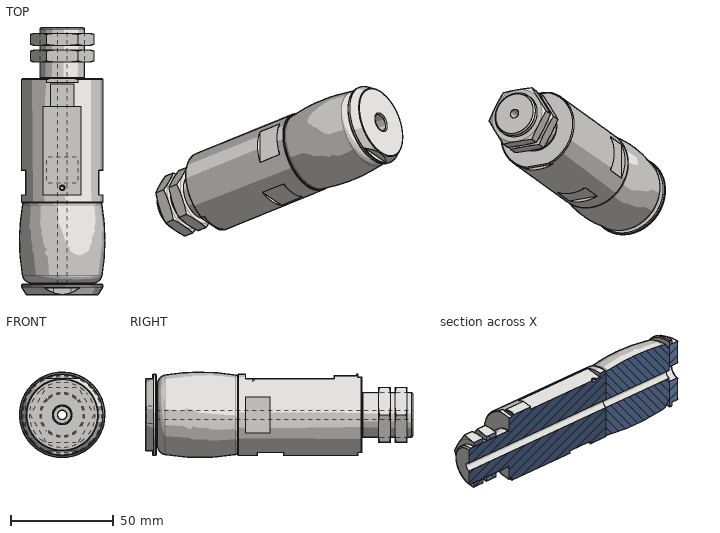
import cadquery as cq
import math

total_length = 131.0
bore_diameter = 4.5

cap_length = 5.5
cap_diameter = 39.8
cap_rim_start = 3.9
cap_face_diameter = 34.6
cap_flat_height = 17.7
cap_flat_length = 3.5
cap_edge_chamfer = 0.5
cap_cone_diameter = 35.2
cap_face_chamfer = 0.3
inlet_diameter = 8.5
inlet_mouth_diameter = 9.7

barrel_front = cap_length
barrel_back = 45.0
barrel_neck_diameter = 32.0
barrel_neck_length = 0.5
barrel_nose_radius = 4.6
barrel_end_diameter = 39.0
barrel_max_diameter = 41.9
barrel_curve_front = 9.5
barrel_curve_back = 44.0
barrel_lip_diameter = 38.5

housing_front = barrel_back
housing_diameter = 40.0
housing_front_chamfer = 0.4
housing_back_chamfer = 0.5
stem_length = 25.0
stem_diameter = 22.0
stem_tip_diameter = 20.5
stem_relief_diameter = 21.0
stem_relief_length = 0.4
housing_back = total_length - stem_length

label_flat_height = 17.7
label_flat_front = 49.0
label_flat_back = 92.4
step_flat_height = 19.1
step_flat_back = 103.2
end_flat_height = 18.5
end_flat_length = 2.0
wrench_flat_offset = 18.0
wrench_flat_front = label_flat_front
wrench_flat_length = 12.0
lower_flat_front = 54.8
lower_flat_length = 12.8
vent_position = 52.5
vent_diameter = 2.0
vent_mouth_diameter = 2.6
vent_depth = 0.7
vent_tip_depth = 0.7

nut_across_flats = 27.0
nut_thickness = 6.0
nut_positions = [114.0, 122.1]
nut_chamfer_angle = 15.0


def turned(outline):
    """Revolve a closed (radius, Y) outline about the Y axis."""
    return outline.close().revolve(360, (0, 0, 0), (0, 1, 0))


def rod(diameter, start, end):
    """Make a round bar along the Y axis."""
    bar = cq.Workplane("XZ", origin=(0, start, 0)).circle(diameter / 2)
    return bar.extrude(start - end)


def flat_cutter(height, start, end):
    """Make a block that leaves a flat at the given height above the axis."""
    size = barrel_max_diameter
    block = cq.Workplane("XY").box(size, end - start, size, centered=(True, False, False))
    return block.translate((0, start, height))


def about_axis(shape, angle):
    """Turn a shape about the Y axis."""
    return shape.rotate((0, 0, 0), (0, 1, 0), angle)


def make_cap():
    radius = cap_diameter / 2
    inlet_chamfer = (inlet_mouth_diameter - inlet_diameter) / 2
    outline = (
        cq.Workplane("XY")
        .moveTo(0, 0)
        .lineTo(cap_face_diameter / 2, 0)
        .lineTo(cap_cone_diameter / 2, cap_face_chamfer)
        .lineTo(radius, cap_rim_start)
        .lineTo(radius, cap_length - cap_edge_chamfer)
        .lineTo(radius - cap_edge_chamfer, cap_length)
        .lineTo(0, cap_length)
    )
    cap = turned(outline)
    flat = flat_cutter(cap_flat_height, 0, cap_flat_length)
    for angle in (0, 180):
        cap = cap.cut(about_axis(flat, angle))
    inlet = (
        cq.Workplane("XY")
        .lineTo(inlet_mouth_diameter / 2, 0)
        .lineTo(inlet_diameter / 2, inlet_chamfer)
        .lineTo(inlet_diameter / 2, cap_length)
        .lineTo(0, cap_length)
    )
    return cap.cut(turned(inlet))


def make_barrel():
    end_radius = barrel_end_diameter / 2
    curve_middle = (barrel_curve_front + barrel_curve_back) / 2
    neck_radius = barrel_neck_diameter / 2
    nose_front = barrel_front + barrel_neck_length
    outline = (
        cq.Workplane("XY")
        .moveTo(0, barrel_front)
        .lineTo(neck_radius, barrel_front)
        .lineTo(neck_radius, nose_front)
        .radiusArc((end_radius, barrel_curve_front), -barrel_nose_radius)
        .threePointArc((barrel_max_diameter / 2, curve_middle), (end_radius, barrel_curve_back))
        .lineTo(barrel_lip_diameter / 2, barrel_back)
        .lineTo(0, barrel_back)
    )
    return turned(outline).cut(rod(bore_diameter, barrel_front, barrel_back))


def make_housing():
    radius = housing_diameter / 2
    stem_radius = stem_diameter / 2
    relief_back = housing_back + stem_relief_length
    stem_chamfer = (stem_diameter - stem_tip_diameter) / 2
    outline = (
        cq.Workplane("XY")
        .moveTo(0, housing_front)
        .lineTo(radius - housing_front_chamfer, housing_front)
        .lineTo(radius, housing_front + housing_front_chamfer)
        .lineTo(radius, housing_back - housing_back_chamfer)
        .lineTo(radius - housing_back_chamfer, housing_back)
        .lineTo(stem_relief_diameter / 2, housing_back)
        .lineTo(stem_relief_diameter / 2, relief_back)
        .lineTo(stem_radius, relief_back)
        .lineTo(stem_radius, total_length - stem_chamfer)
        .lineTo(stem_radius - stem_chamfer, total_length)
        .lineTo(0, total_length)
    )
    housing = turned(outline).cut(rod(bore_diameter, housing_front, total_length))
    housing = housing.cut(flat_cutter(label_flat_height, label_flat_front, label_flat_back))
    housing = housing.cut(flat_cutter(step_flat_height, label_flat_back, step_flat_back))

    end_flat = flat_cutter(end_flat_height, housing_back - end_flat_length, housing_back)
    for angle in (0, 180):
        housing = housing.cut(about_axis(end_flat, angle))

    wrench_flat_back = wrench_flat_front + wrench_flat_length
    wrench_flat = flat_cutter(wrench_flat_offset, wrench_flat_front, wrench_flat_back)
    for angle in (90, -90):
        housing = housing.cut(about_axis(wrench_flat, angle))

    lower_flat = flat_cutter(end_flat_height, lower_flat_front, lower_flat_front + lower_flat_length)
    housing = housing.cut(about_axis(lower_flat, 180))
    return housing.cut(make_vent())


def make_vent():
    """Make the cutter for the small blind hole with a chamfered mouth in the label flat."""
    chamfer = (vent_mouth_diameter - vent_diameter) / 2
    outline = (
        cq.Workplane("XZ")
        .lineTo(vent_mouth_diameter / 2, 0)
        .lineTo(vent_diameter / 2, -chamfer)
        .lineTo(vent_diameter / 2, -vent_depth)
        .lineTo(0, -vent_depth - vent_tip_depth)
        .close()
    )
    vent = outline.revolve(360, (0, 0, 0), (0, 1, 0))
    return vent.translate((0, vent_position, label_flat_height))


def make_nut(start):
    """Make a hexagonal nut, with corners on the X axis and both ends chamfered."""
    end = start + nut_thickness
    corner_radius = nut_across_flats / math.sqrt(3)
    face_radius = nut_across_flats / 2
    slope = math.tan(math.radians(nut_chamfer_angle))
    chamfer_depth = (corner_radius - face_radius) * slope
    hexagon = cq.Workplane("XZ", origin=(0, start, 0)).polygon(6, 2 * corner_radius)
    outline = (
        cq.Workplane("XY")
        .moveTo(0, start)
        .lineTo(face_radius, start)
        .lineTo(corner_radius, start + chamfer_depth)
        .lineTo(corner_radius, end - chamfer_depth)
        .lineTo(face_radius, end)
        .lineTo(0, end)
    )
    nut = hexagon.extrude(-nut_thickness).intersect(turned(outline))
    return nut.cut(rod(stem_diameter, start, end))


cap = make_cap()
barrel = make_barrel()
housing = make_housing()
nuts = [make_nut(position) for position in nut_positions]

result = cq.Compound.makeCompound(
    [cap.val(), barrel.val(), housing.val(), *[nut.val() for nut in nuts]]
)